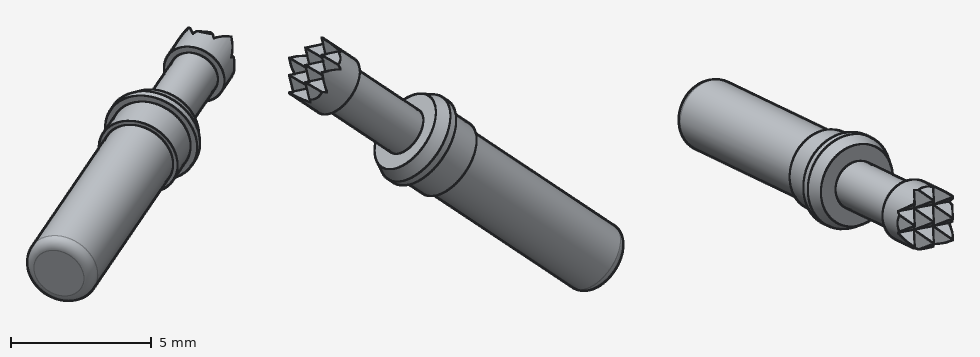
import cadquery as cq
import math

body_diameter = 2.66
body_fillet = 0.38
press_ring_diameter = 3.0
collar_diameter = 3.5
plunger_diameter = 1.8
crown_diameter = 2.3

overall_length = 15.1
body_length = 9.2
press_ring_length = 1.3
collar_rim_length = 0.3
collar_cone_length = 0.5
collar_cone_angle = 25.0
crown_length = 1.6

teeth_per_row = 3
tooth_pitch = 0.8
groove_angle = 60.0

body_end = -body_length
tip_y = overall_length - body_length
crown_base_y = tip_y - crown_length
collar_top_y = collar_rim_length + collar_cone_length
collar_top_radius = collar_diameter / 2 - collar_cone_length * math.tan(math.radians(collar_cone_angle))
groove_depth = tooth_pitch / 2 / math.tan(math.radians(groove_angle / 2))


def cylinder(diameter, start_y, end_y):
    """Solid cylinder on the Y axis between two stations."""
    disc = cq.Workplane("XZ", origin=(0, start_y, 0)).circle(diameter / 2)
    return disc.extrude(start_y - end_y)


def make_body():
    """Tube body with a rounded closed end and its press ring."""
    tube = cylinder(body_diameter, body_end, 0).faces("<Y").edges().fillet(body_fillet)
    return tube.union(cylinder(press_ring_diameter, -press_ring_length, 0))


def make_collar():
    """Cylindrical rim that tapers towards the plunger."""
    outline = [
        (0, 0),
        (collar_diameter / 2, 0),
        (collar_diameter / 2, collar_rim_length),
        (collar_top_radius, collar_top_y),
        (0, collar_top_y),
    ]
    return cq.Workplane("XY").polyline(outline).close().revolve(360, (0, 0, 0), (0, 1, 0))


def make_groove(center):
    """V-groove along Z, centred on the given X, opening at the tooth tips."""
    outline = [
        (center - tooth_pitch / 2, tip_y),
        (center, tip_y - groove_depth),
        (center + tooth_pitch / 2, tip_y),
    ]
    return cq.Workplane("XY").polyline(outline).close().extrude(crown_diameter, both=True)


def make_crown():
    """Serrated head: a cylinder cut by two crossing sets of V-grooves."""
    crown = cylinder(crown_diameter, crown_base_y, tip_y)
    for index in range(teeth_per_row + 1):
        groove = make_groove((index - teeth_per_row / 2) * tooth_pitch)
        crown = crown.cut(groove)
        crown = crown.cut(groove.rotate((0, 0, 0), (0, 1, 0), 90))
    return crown


def make_plunger():
    """Plunger shaft between the collar and the crown."""
    return cylinder(plunger_diameter, collar_top_y, crown_base_y)


result = make_body().union(make_collar()).union(make_plunger()).union(make_crown())